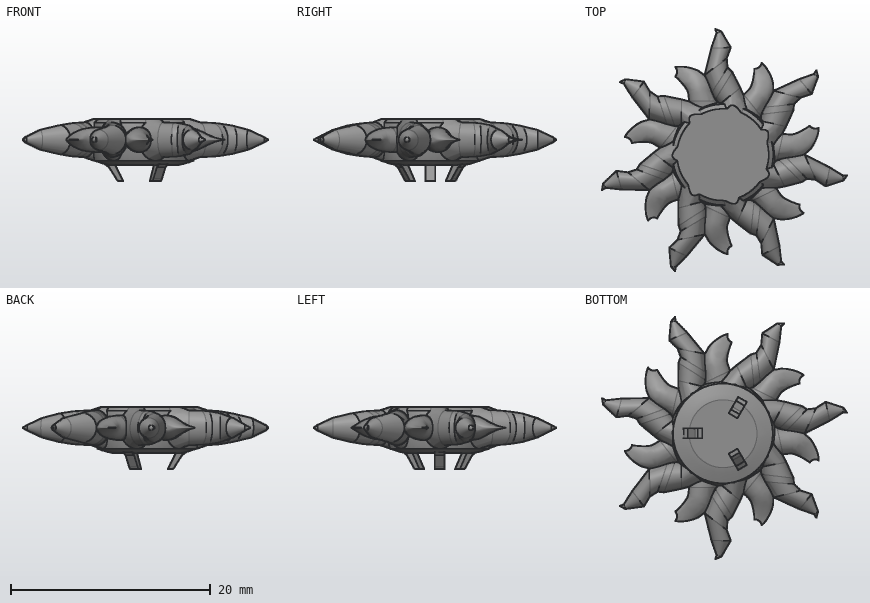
import cadquery as cq
import math


RAY_COUNT = 7
PITCH_ANGLE = 360 / RAY_COUNT
FIRST_RAY_ANGLE = -12
FIRST_FLAME_ANGLE = 14

HUB_HALF_HEIGHT = 2.09
HUB_RIM_RADIUS = 5.05
HUB_BELLY_RADIUS = 5.25
RIM_CHAMFER_WIDTH = 0.45
RIM_CHAMFER_HEIGHT = 0.37
HUB_TOP_RADIUS = HUB_RIM_RADIUS - RIM_CHAMFER_WIDTH
CHAMFER_BOTTOM_Z = HUB_HALF_HEIGHT - RIM_CHAMFER_HEIGHT

RAY_SECTIONS = [
    ((3.50, 1.10), (3.50, -3.20), 2.58),
    ((5.06, 0.22), (6.72, -1.84), 1.76),
    ((5.56, 0.70), (8.31, -1.06), 1.71),
    ((6.25, 1.06), (8.75, -0.62), 1.66),
    ((8.00, 1.72), (9.66, -0.55), 1.45),
    ((10.72, 1.00), (10.74, -0.97), 1.00),
    ((12.20, 0.46), (12.36, -0.03), 0.27),
    ((12.60, 0.58), (12.62, 0.56), 0.03),
]
SLAB_MARGIN = 1.0
FLAME_SECTIONS = [
    ((6.34, 0.59), (5.10, -1.90), 1.24),
    ((7.03, 0.34), (6.50, -2.02), 1.15),
    ((7.60, 0.30), (8.00, -1.94), 0.85),
    ((8.25, 0.42), (8.90, -1.38), 0.46),
    ((8.80, 0.58), (9.50, -0.70), 0.18),
    ((9.15, 0.73), (10.00, 0.30), 0.05),
]
FLAME_STUB_SECTION = ((4.00, 1.30), (4.00, -1.90), 1.24)
NOTCH_DEEPEST = (9.45, 0.37)
NOTCH_OVERSHOOT = 1.0

PLATE_THICKNESS = 0.46
PLATE_TOP_Z = -HUB_HALF_HEIGHT
PLATE_BOTTOM_Z = PLATE_TOP_Z - PLATE_THICKNESS
PLATE_TOP_RADIUS = 5.0
PLATE_BOTTOM_RADIUS = 3.4
PLATE_EDGE_MIDDLE = (4.30, 0.25)

PRONG_ANGLES = (60, 180, 300)
PRONG_WIDTH = 1.0
PRONG_LENGTH = 1.61
PRONG_ROOT_INNER_RADIUS = 2.85
PRONG_ROOT_OUTER_RADIUS = 4.1
PRONG_NECK_RADIUS = 3.5
PRONG_NECK_DROP = 0.2
PRONG_TIP_INNER_RADIUS = 2.05
PRONG_TIP_OUTER_RADIUS = 2.5
PRONG_TIP_ROUND_START = (2.8, 0.3)
PRONG_TIP_ROUND_MIDDLE = (2.68, 0.1)


def elliptical_section(left, right, half_height):
    """Upright ellipse whose horizontal axis runs between the two edge points."""
    across = (left[0] - right[0], left[1] - right[1], 0)
    center = ((left[0] + right[0]) / 2, (left[1] + right[1]) / 2, 0)
    forward = (across[1], -across[0], 0)
    plane = cq.Plane(origin=center, xDir=across, normal=forward)
    half_width = math.hypot(across[0], across[1]) / 2
    return cq.Workplane(plane).ellipse(half_width, half_height).wires().val()


def lofted_arm(sections, ruled):
    wires = [elliptical_section(*section) for section in sections]
    return cq.Workplane(obj=cq.Solid.makeLoft(wires, ruled))


def make_ray():
    ray = lofted_arm(RAY_SECTIONS, ruled=True)
    reach = RAY_SECTIONS[-1][1][0] + SLAB_MARGIN
    slab = cq.Workplane().box(2 * reach, 2 * reach, 2 * HUB_HALF_HEIGHT)
    return ray.intersect(slab)


def make_flame():
    blade = lofted_arm(FLAME_SECTIONS, ruled=False)
    stub = lofted_arm([FLAME_STUB_SECTION, FLAME_SECTIONS[0]], ruled=True)
    left_corner, right_corner = FLAME_SECTIONS[-1][:2]
    notch = (
        cq.Workplane()
        .moveTo(*left_corner)
        .threePointArc(NOTCH_DEEPEST, right_corner)
        .lineTo(right_corner[0], right_corner[1] + NOTCH_OVERSHOOT)
        .close()
        .extrude(HUB_HALF_HEIGHT, both=True)
    )
    return blade.union(stub).cut(notch)


def make_hub():
    return (
        cq.Workplane("XZ")
        .moveTo(0, -HUB_HALF_HEIGHT)
        .lineTo(PLATE_TOP_RADIUS, -HUB_HALF_HEIGHT)
        .threePointArc((HUB_BELLY_RADIUS, 0), (HUB_RIM_RADIUS, CHAMFER_BOTTOM_Z))
        .lineTo(HUB_TOP_RADIUS, HUB_HALF_HEIGHT)
        .lineTo(0, HUB_HALF_HEIGHT)
        .close()
        .revolve(360, (0, 0), (0, 1))
    )


def make_sun():
    sun = make_hub()
    ray = make_ray()
    flame = make_flame()
    z_axis = ((0, 0, 0), (0, 0, 1))
    for index in range(RAY_COUNT):
        turn = index * PITCH_ANGLE
        sun = sun.union(ray.rotate(*z_axis, FIRST_RAY_ANGLE + turn))
        sun = sun.union(flame.rotate(*z_axis, FIRST_FLAME_ANGLE + turn))
    return sun


def make_prong():
    tip = PLATE_BOTTOM_Z - PRONG_LENGTH
    root = PLATE_BOTTOM_Z + PLATE_THICKNESS / 2
    round_start = (PRONG_TIP_ROUND_START[0], tip + PRONG_TIP_ROUND_START[1])
    round_middle = (PRONG_TIP_ROUND_MIDDLE[0], tip + PRONG_TIP_ROUND_MIDDLE[1])
    return (
        cq.Workplane("XZ")
        .moveTo(PRONG_ROOT_INNER_RADIUS, root)
        .lineTo(PRONG_ROOT_OUTER_RADIUS, root)
        .lineTo(PRONG_NECK_RADIUS, PLATE_BOTTOM_Z - PRONG_NECK_DROP)
        .lineTo(*round_start)
        .threePointArc(round_middle, (PRONG_TIP_OUTER_RADIUS, tip))
        .lineTo(PRONG_TIP_INNER_RADIUS, tip)
        .lineTo(PRONG_ROOT_INNER_RADIUS, PLATE_BOTTOM_Z)
        .close()
        .extrude(PRONG_WIDTH / 2, both=True)
    )


def make_back_plate():
    edge_middle = (PLATE_EDGE_MIDDLE[0], PLATE_TOP_Z - PLATE_EDGE_MIDDLE[1])
    plate = (
        cq.Workplane("XZ")
        .moveTo(0, PLATE_TOP_Z)
        .lineTo(PLATE_TOP_RADIUS, PLATE_TOP_Z)
        .threePointArc(edge_middle, (PLATE_BOTTOM_RADIUS, PLATE_BOTTOM_Z))
        .lineTo(0, PLATE_BOTTOM_Z)
        .close()
        .revolve(360, (0, 0), (0, 1))
    )
    prong = make_prong()
    for angle in PRONG_ANGLES:
        plate = plate.union(prong.rotate((0, 0, 0), (0, 0, 1), angle))
    return plate


sun = make_sun()
back_plate = make_back_plate()
result = cq.Compound.makeCompound([*sun.vals(), *back_plate.vals()])